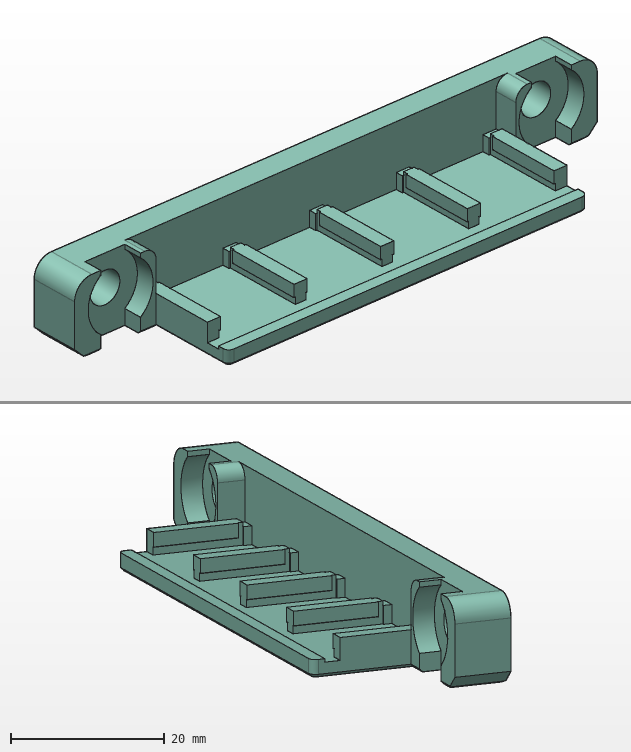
import cadquery as cq
import math

plate_length = 91.1
plate_thickness = 8.0
plate_height = 12.2
top_corner_radius = 3.0
bottom_corner_chamfer = 2.0
bottom_edge_chamfer = 0.5

hole_diameter = 5.2
hole_spacing = 75.1
hole_height = 7.0
notch_width = 6.9
notch_floor_x = 4.9

seat_diameter = 11.3

shelf_length = 62.7
shelf_end_x = 22.2
shelf_start_x = 4.1
floor_height = 2.0
lip_height = 2.5
lip_start_x = 20.3
shelf_corner_radius = 1.0
shoulder_radius = 2.0

rib_count = 5
rib_width = 2.3
rib_end_x = 18.1
rib_top = 5.1
rib_pitch = (shelf_length - rib_width) / (rib_count - 1)

relief_depth = 0.23
relief_top = 3.1
relief_start_x = 5.3
full_relief_end_x = 6.0

heel_top = 4.6


def block(x_min, x_max, y_center, width, z_min, z_max):
    """Box given by its X and Z limits and centred on y_center."""
    return (
        cq.Workplane("XY")
        .box(x_max - x_min, width, z_max - z_min, centered=(False, True, False))
        .translate((x_min, y_center, z_min))
    )


def make_plate():
    plate = block(0, plate_thickness, 0, plate_length, 0, plate_height)
    plate = plate.edges("|X and >Z").fillet(top_corner_radius)
    return plate.edges("|X and <Z").chamfer(bottom_corner_chamfer)


def make_shelf():
    shelf = block(0, shelf_end_x, 0, shelf_length, 0, lip_height)
    return shelf.edges("|Z and >X").fillet(shelf_corner_radius)


def make_recess():
    """Space above the shelf floor, flaring outward at the top in convex rounded shoulders."""
    half = shelf_length / 2
    bend_z = plate_height - shoulder_radius
    top_half = half + shoulder_radius
    mid = shoulder_radius * (1 - math.cos(math.pi / 4))
    profile = (
        cq.Workplane("YZ", origin=(shelf_start_x, 0, 0))
        .moveTo(-half, floor_height)
        .lineTo(half, floor_height)
        .lineTo(half, bend_z)
        .threePointArc((half + mid, plate_height - mid), (top_half, plate_height))
        .lineTo(-top_half, plate_height)
        .threePointArc((-half - mid, plate_height - mid), (-half, bend_z))
        .close()
    )
    return profile.extrude(lip_start_x - shelf_start_x)


def make_ribs():
    """Rib bank made from one bar by removing the bays and the reliefs beside them."""
    ribs = block(shelf_start_x, rib_end_x, 0, shelf_length, floor_height, rib_top)
    ribs = ribs.cut(block(shelf_start_x, relief_start_x, 0, shelf_length, heel_top, rib_top))
    bay_count = rib_count - 1
    bay_width = rib_pitch - rib_width
    relieved_width = bay_width + 2 * relief_depth
    for bay in range(bay_count):
        bay_y = (bay - (bay_count - 1) / 2) * rib_pitch
        ribs = ribs.cut(block(shelf_start_x, rib_end_x, bay_y, bay_width, floor_height, rib_top))
        ribs = ribs.cut(block(relief_start_x, rib_end_x, bay_y, relieved_width, floor_height, relief_top))
        ribs = ribs.cut(
            block(relief_start_x, full_relief_end_x, bay_y, relieved_width, floor_height, rib_top)
        )
    return ribs


def bore(y_center, diameter, x_start):
    """Cylinder along X from x_start to the +X face of the plate, at screw height."""
    circle = cq.Workplane("YZ", origin=(x_start, y_center, hole_height)).circle(diameter / 2)
    return circle.extrude(plate_thickness - x_start)


body = make_plate().union(make_shelf())
body = body.faces("<Z").edges().chamfer(bottom_edge_chamfer)
body = body.cut(make_recess())
body = body.cut(block(lip_start_x, shelf_end_x, 0, shelf_length, lip_height, plate_height))
body = body.union(make_ribs())

for side in (-1, 1):
    hole_y = side * hole_spacing / 2
    body = body.cut(block(notch_floor_x, plate_thickness, hole_y, notch_width, 0, plate_height))
    body = body.cut(bore(hole_y, seat_diameter, notch_floor_x))
    body = body.cut(bore(hole_y, hole_diameter, 0))

result = body